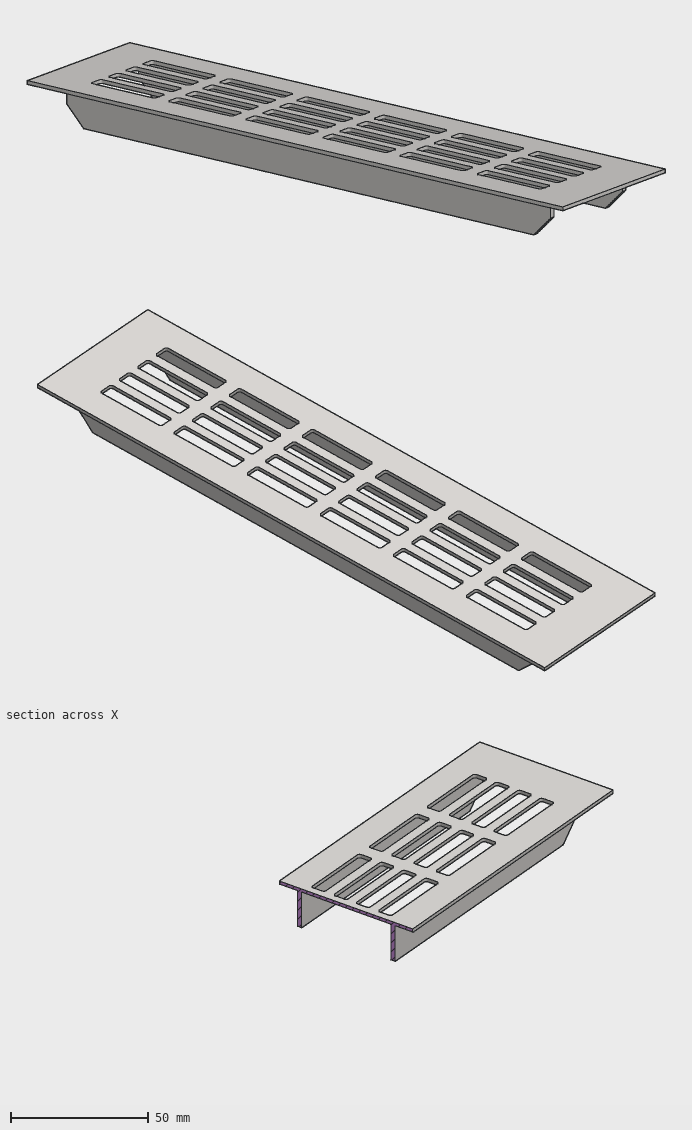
import cadquery as cq

plate_length = 250.0
plate_width = 60.0
plate_thickness = 1.5
total_height = 16.5

slot_length = 30.0
slot_width = 6.0
slot_corner_radius = 1.0
slot_columns = 6
slot_rows = 4
slot_pitch_x = 36.0
slot_pitch_y = 10.0

wall_length = 226.0
wall_end_bevel = 8.0
wall_thickness = 2.0
wall_outer_spacing = 44.0
wall_height = total_height - plate_thickness


def make_plate():
    """Flat plate whose underside lies on Z = 0."""
    return cq.Workplane("XY").rect(plate_length, plate_width).extrude(plate_thickness)


def make_slots():
    """Grid of rounded rectangular cutters, as thick as the plate."""
    return (
        cq.Workplane("XY")
        .rarray(slot_pitch_x, slot_pitch_y, slot_columns, slot_rows)
        .rect(slot_length, slot_width)
        .extrude(plate_thickness)
        .edges("|Z")
        .fillet(slot_corner_radius)
    )


def make_wall(center_y):
    """Upright wall under the plate with both lower ends bevelled at 45 degrees."""
    half_top = wall_length / 2
    half_bottom = half_top - wall_end_bevel
    bevel_top = wall_end_bevel - wall_height
    outline = [
        (-half_top, 0),
        (half_top, 0),
        (half_top, bevel_top),
        (half_bottom, -wall_height),
        (-half_bottom, -wall_height),
        (-half_top, bevel_top),
    ]
    return (
        cq.Workplane("XZ", origin=(0, center_y, 0))
        .polyline(outline)
        .close()
        .extrude(wall_thickness / 2, both=True)
    )


result = make_plate().cut(make_slots())
wall_center_y = (wall_outer_spacing - wall_thickness) / 2
for side in (-1, 1):
    result = result.union(make_wall(side * wall_center_y))